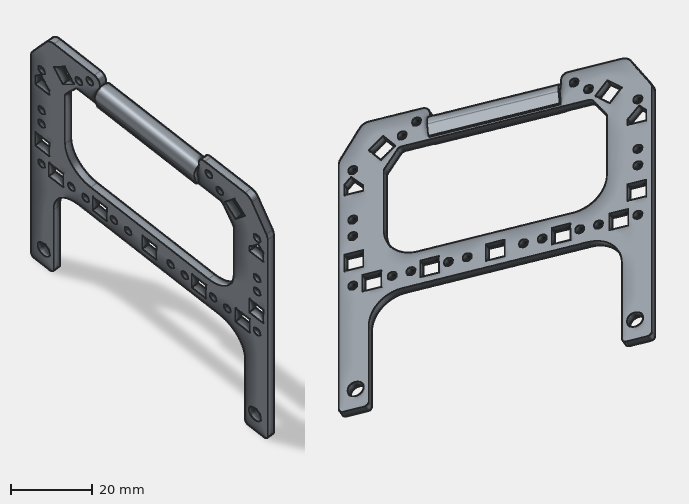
import cadquery as cq
import math

width = 83.5
height = 86.0
thickness = 2.2
half_width = width / 2

leg_width = 8.0
arch_top = 33.0
arch_radius = 9.0
foot_radius = 1.2
leg_hole_diameter = 4.3
leg_hole_x = 37.25
leg_hole_z = 6.0

shoulder_x = 35.3
shoulder_z = 76.0
shoulder_radius = 3.0
grip_length = 35.0
ear_radius = 2.0

side_width = 12.0
window_bottom = 43.0
window_top = 76.0
window_bevel_width = 4.1
window_bevel_height = 5.8
window_radius = 9.0
window_bevel_radius = 1.5
window_half_width = half_width - side_width

small_diameter = 2.4
opening_size = 5.0
row_z = 37.5
side_hole_x = 38.0
row_hole_xs = (7.5, 12.5, 22.5, 27.5, side_hole_x)
side_hole_zs = (52.5, 57.5, 72.5)
corner_holes = ((21.0, 82.4), (24.85, 79.3))
row_opening_xs = (-32.9, -17.5, 0.0, 17.5, 32.9)
side_opening_x = 37.75
side_opening_z = 45.0
tilted_opening_x = 30.2
tilted_opening_z = 77.0
tilted_opening_angle = 40.0
gable_bottom = 65.5
gable_outer_eave = 68.6
gable_inner_eave = 67.1
gable_peak_x = 38.4
gable_peak_z = 70.5

grip_width = 5.49
grip_top = 83.07
grip_wall = 1.05
grip_bottom = 76.5
jaw_angle = 13.0
grip_radius = grip_width / 2
grip_axis_z = grip_top - grip_radius
bore_radius = grip_radius - grip_wall
rail_top = grip_axis_z + bore_radius


def plate_prism(sketch):
    """Extrude an XZ sketch through the plate thickness, centred on Y = 0."""
    return sketch.extrude(thickness / 2, both=True)


def fillet_corners(body, corners, radius):
    """Round the Y-direction edges at the given (x, z) corners and at their mirror images."""
    reach = 0.1
    for x, z in corners:
        for side in (-1, 1):
            selector = cq.selectors.BoxSelector(
                (side * x - reach, -thickness, z - reach),
                (side * x + reach, thickness, z + reach),
            )
            body = body.edges("|Y").edges(selector).fillet(radius)
    return body


def make_outline():
    leg_inner_x = half_width - leg_width
    ear_x = grip_length / 2
    right_half = [
        (0, arch_top),
        (leg_inner_x, arch_top),
        (leg_inner_x, 0),
        (half_width, 0),
        (half_width, shoulder_z),
        (shoulder_x, height),
        (ear_x, height),
        (ear_x, rail_top),
        (0, rail_top),
    ]
    body = plate_prism(cq.Workplane("XZ").polyline(right_half).close())
    body = body.union(body.mirror("YZ")).clean()
    body = fillet_corners(body, [(leg_inner_x, arch_top)], arch_radius)
    body = fillet_corners(body, [(leg_inner_x, 0), (half_width, 0)], foot_radius)
    body = fillet_corners(body, [(half_width, shoulder_z), (shoulder_x, height)], shoulder_radius)
    return fillet_corners(body, [(ear_x, height)], ear_radius)


def make_window():
    bevel_top_x = window_half_width - window_bevel_width
    bevel_bottom_z = window_top - window_bevel_height
    outline = [
        (-window_half_width, window_bottom),
        (window_half_width, window_bottom),
        (window_half_width, bevel_bottom_z),
        (bevel_top_x, window_top),
        (-bevel_top_x, window_top),
        (-window_half_width, bevel_bottom_z),
    ]
    body = plate_prism(cq.Workplane("XZ").polyline(outline).close())
    body = fillet_corners(body, [(window_half_width, window_bottom)], window_radius)
    bevel_corners = [(window_half_width, bevel_bottom_z), (bevel_top_x, window_top)]
    return fillet_corners(body, bevel_corners, window_bevel_radius)


def make_round_holes():
    right_side = [(x, row_z) for x in row_hole_xs]
    right_side += [(side_hole_x, z) for z in side_hole_zs]
    right_side += corner_holes
    points = right_side + [(-x, z) for x, z in right_side]
    small = plate_prism(cq.Workplane("XZ").pushPoints(points).circle(small_diameter / 2))
    leg_points = [(-leg_hole_x, leg_hole_z), (leg_hole_x, leg_hole_z)]
    large = plate_prism(cq.Workplane("XZ").pushPoints(leg_points).circle(leg_hole_diameter / 2))
    return small.union(large)


def make_square_openings():
    points = [(x, row_z) for x in row_opening_xs]
    points += [(side * side_opening_x, side_opening_z) for side in (-1, 1)]
    return plate_prism(cq.Workplane("XZ").pushPoints(points).rect(opening_size, opening_size))


def make_corner_openings():
    """Tilted square and gable-topped opening of the right side, with their mirror images."""
    tilted = plate_prism(
        cq.Workplane("XZ")
        .center(tilted_opening_x, tilted_opening_z)
        .transformed(rotate=(0, 0, -tilted_opening_angle))
        .rect(opening_size, opening_size)
    )
    inner_x = side_opening_x - opening_size / 2
    outer_x = side_opening_x + opening_size / 2
    gable_outline = [
        (inner_x, gable_bottom),
        (outer_x, gable_bottom),
        (outer_x, gable_outer_eave),
        (gable_peak_x, gable_peak_z),
        (inner_x, gable_inner_eave),
    ]
    gable = plate_prism(cq.Workplane("XZ").polyline(gable_outline).close())
    right_side = tilted.union(gable)
    return right_side.union(right_side.mirror("YZ"))


def make_grip():
    """Clip-shaped sleeve along X that straddles the rail above the window."""
    jaw = math.radians(jaw_angle)

    def on_circle(radius, angle):
        return radius * math.cos(angle), grip_axis_z + radius * math.sin(angle)

    outer_tangent = on_circle(grip_radius, -jaw)
    inner_tangent = on_circle(bore_radius, -jaw)
    jaw_length = (outer_tangent[1] - grip_bottom) / math.cos(jaw)

    def jaw_end(tangent):
        return tangent[0] - jaw_length * math.sin(jaw), tangent[1] - jaw_length * math.cos(jaw)

    def mirrored(point):
        return -point[0], point[1]

    profile = (
        cq.Workplane("YZ", origin=(-grip_length / 2, 0, 0))
        .moveTo(*jaw_end(outer_tangent))
        .lineTo(*outer_tangent)
        .threePointArc((0, grip_top), mirrored(outer_tangent))
        .lineTo(*mirrored(jaw_end(outer_tangent)))
        .lineTo(*mirrored(jaw_end(inner_tangent)))
        .lineTo(*mirrored(inner_tangent))
        .threePointArc((0, rail_top), inner_tangent)
        .lineTo(*jaw_end(inner_tangent))
        .close()
    )
    return profile.extrude(grip_length)


plate = make_outline().cut(make_window()).cut(make_round_holes())
plate = plate.cut(make_square_openings()).cut(make_corner_openings())
result = plate.union(make_grip())